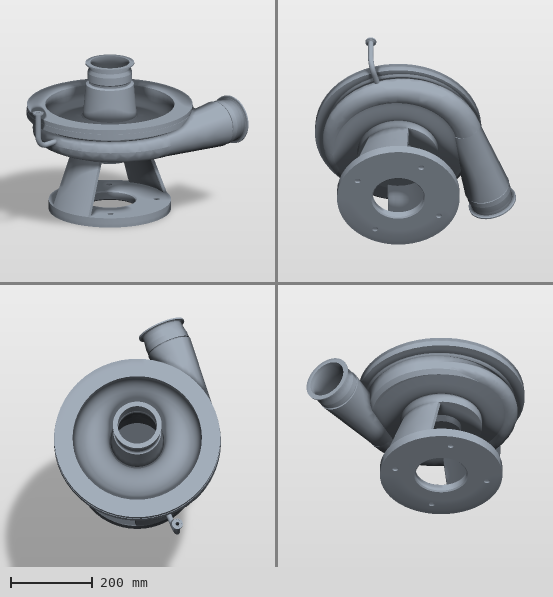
import cadquery as cq
import math

base_radius = 150.0
base_thickness = 23.5
base_bore_radius = 63.0
base_bore_chamfer = 3.0
bolt_circle_radius = 114.5
bolt_hole_radius = 7.0
bolt_count = 4
bolt_start_angle = 45

hub_radius = 100.0
hub_bottom_z = 150.5
hub_edge_z = 173.5
hub_top_z = 178.0
hub_step = 2.5
stub_radius = 49.5
stub_bottom_z = 130.0

leg_wall = 10.0
leg_chamfer = 2.0
leg_foot_half_width = 60.0
leg_head_half_width = 49.0

flange_radius = 204.0
flange_bottom_z = 243.0
flange_top_z = 268.0
cover_split_z = 257.5
cover_relief = 1.0
outlet_blend_radius = 5.0
core_radius = 172.0
core_offset_x = 6.0
core_offset_y = 5.0
core_bottom_z = 185.5
core_chamfer = 10.0
neck_radius = 185.0
neck_bottom_z = 234.5
neck_chamfer = 3.0
neck_offset_x = 9.0
neck_offset_y = -5.0
dish_rim_radius = 158.0
dish_fillet = 23.5
dish_wall_bottom_z = 247.0
dish_inner_radius = 69.0
dish_slope = math.radians(13.6)
dish_inner_z = 239.0

ferrule_radius = 59.5
ferrule_thickness = 3.5
ferrule_taper_length = 1.5
ferrule_taper_rise = 2.5
collar_radius = 54.5
pipe_radius = 51.5
pipe_bore_radius = 48.0
pipe_wall = pipe_radius - pipe_bore_radius
inlet_top_z = 376.0
inlet_taper_top_z = 362.0
inlet_collar_top_z = 352.0
inlet_collar_bottom_z = 333.0
inlet_neck_top_z = 330.0
inlet_neck_bottom_z = 325.5
inlet_recess_top_z = 346.5
inlet_recess_depth = 1.0
inlet_cone_top_z = 321.5
inlet_cone_top_radius = 58.5
inlet_cone_base_radius = 66.0
inlet_fillet_height = 3.0
inlet_floor_z = 190.5

scroll_z = 208.5
scroll_start_tube_radius = 16.0
scroll_tube_growth = 6.5
scroll_start_outer_radius = 169.5
scroll_outer_growth = 13.0
scroll_quarters = 3
sections_per_quarter = 4

outlet_x = 170.0
outlet_z = 209.5
outlet_end_y = 250.0
outlet_taper_end_y = 235.5
outlet_collar_end_y = 216.5
outlet_collar_start_y = 202.5
outlet_cone_end_y = 198.5
outlet_cone_end_radius = 56.0
outlet_cone_start_radius = 37.0
outlet_bore_start_y = 113.0
outlet_bore_start_radius = 44.0

drain_y = -251.0
drain_z = 216.5
drain_radius = 6.5
drain_bore_radius = 4.5
drain_bend_radius = 28.0
drain_start_y = -175.0
drain_top_z = 305.5
drain_ferrule_radius = 13.5
drain_ferrule_thickness = 3.5
drain_ferrule_taper = 2.0
drain_groove_inner_radius = 8.0
drain_groove_outer_radius = 11.0
drain_groove_depth = 1.0


def disc(radius, bottom_z, top_z):
    """Solid cylinder on the pump axis."""
    return cq.Workplane("XY").workplane(offset=bottom_z).circle(radius).extrude(top_z - bottom_z)


def turned(points):
    """Solid turned about the pump axis from (radius, z) corners."""
    return cq.Workplane("XZ").polyline(points).close().revolve(360, (0, 0), (0, 1))


def make_base():
    plate = disc(base_radius, 0, base_thickness)
    plate = plate.cut(disc(base_bore_radius, 0, base_thickness))
    plate = plate.edges(cq.selectors.RadiusNthSelector(0)).chamfer(base_bore_chamfer)
    holes = (
        cq.Workplane("XY")
        .polarArray(bolt_circle_radius, bolt_start_angle, 360, bolt_count)
        .circle(bolt_hole_radius)
        .extrude(base_thickness)
    )
    return plate.cut(holes)


def make_hub():
    hub = turned([
        (0, hub_bottom_z),
        (hub_radius, hub_bottom_z),
        (hub_radius, hub_edge_z),
        (hub_radius - hub_step, hub_edge_z),
        (hub_radius - hub_step, core_bottom_z),
        (0, core_bottom_z),
    ])
    web = turned([
        (0, hub_top_z),
        (hub_radius, hub_top_z),
        (core_radius - core_chamfer, core_bottom_z),
        (0, core_bottom_z),
    ])
    return hub.union(web).union(disc(stub_radius, stub_bottom_z, hub_bottom_z))


def make_legs():
    shell = turned([
        (base_radius - leg_wall, base_thickness),
        (base_radius, base_thickness),
        (hub_radius, hub_bottom_z),
        (hub_radius - leg_wall, hub_bottom_z),
    ])
    strip = (
        cq.Workplane("XZ")
        .polyline([
            (-leg_foot_half_width, base_thickness),
            (leg_foot_half_width, base_thickness),
            (leg_head_half_width, hub_bottom_z),
            (-leg_head_half_width, hub_bottom_z),
        ])
        .close()
        .extrude(base_radius, both=True)
    )
    legs = shell.intersect(strip)
    mid_z = (base_thickness + hub_bottom_z) / 2
    mid_half_width = (leg_foot_half_width + leg_head_half_width) / 2
    mid_radius = (base_radius + hub_radius - leg_wall) / 2
    mid_y = math.sqrt(mid_radius**2 - mid_half_width**2)
    inner_side_edges = cq.selectors.BoxSelector(
        (-leg_foot_half_width, -mid_y, mid_z - leg_wall),
        (leg_foot_half_width, mid_y, mid_z + leg_wall),
    )
    return legs.edges(inner_side_edges).chamfer(leg_chamfer)


def make_core():
    core = disc(core_radius, core_bottom_z, flange_bottom_z).faces("<Z").chamfer(core_chamfer)
    core = core.translate((core_offset_x, core_offset_y, 0))
    neck = disc(neck_radius, neck_bottom_z, flange_bottom_z).faces("<Z").chamfer(neck_chamfer)
    neck = neck.translate((neck_offset_x, neck_offset_y, 0))
    return core.union(neck)


def make_scroll():
    sections = []
    count = scroll_quarters * sections_per_quarter
    for index in range(count + 1):
        quarters = index / sections_per_quarter
        tube_radius = scroll_start_tube_radius + scroll_tube_growth * quarters
        centre_radius = scroll_start_outer_radius + scroll_outer_growth * quarters - tube_radius
        angle = math.radians(90 * (1 + quarters))
        centre = cq.Vector(centre_radius * math.cos(angle), centre_radius * math.sin(angle), scroll_z)
        along = cq.Vector(-math.sin(angle), math.cos(angle), 0)
        sections.append(cq.Wire.makeCircle(tube_radius, centre, along))
    return cq.Workplane(obj=cq.Solid.makeLoft(sections))


def make_outlet(outline):
    """Solid turned about the outlet axis from (radius, y) corners."""
    solid = cq.Workplane("XY").polyline(outline).close().revolve(360, (0, 0), (0, 1))
    return solid.translate((outlet_x, 0, outlet_z))


def make_outlet_body():
    return make_outlet([
        (0, 0),
        (outlet_cone_start_radius, 0),
        (outlet_cone_end_radius, outlet_cone_end_y),
        (pipe_radius, outlet_cone_end_y),
        (pipe_radius, outlet_collar_start_y),
        (collar_radius, outlet_collar_start_y),
        (collar_radius, outlet_collar_end_y),
        (pipe_radius, outlet_taper_end_y),
        (pipe_radius, outlet_end_y - ferrule_thickness - ferrule_taper_length),
        (pipe_radius + ferrule_taper_rise, outlet_end_y - ferrule_thickness),
        (ferrule_radius, outlet_end_y - ferrule_thickness),
        (ferrule_radius, outlet_end_y),
        (0, outlet_end_y),
    ])


def make_outlet_bore():
    return make_outlet([
        (0, outlet_bore_start_y),
        (outlet_bore_start_radius, outlet_bore_start_y),
        (pipe_bore_radius, outlet_cone_end_y),
        (pipe_bore_radius, outlet_end_y),
        (0, outlet_end_y),
    ])


def make_flange_with_outlet():
    """Casing and cover flanges, blended into the outlet where it leaves their rim."""
    flange = disc(flange_radius, flange_bottom_z, flange_top_z).union(make_outlet_body())
    rim_crossing = cq.selectors.BoxSelector(
        (outlet_x - outlet_cone_end_radius, 0, flange_bottom_z),
        (outlet_x + outlet_cone_end_radius, outlet_cone_end_y, cover_split_z),
    )
    flange = flange.edges("%BSPLINE").edges(rim_crossing).fillet(outlet_blend_radius)
    rim = disc(flange_radius, cover_split_z, flange_top_z)
    cover = disc(flange_radius - cover_relief, cover_split_z, flange_top_z)
    return flange.cut(rim.cut(cover))


def make_dish():
    """Space above the cover: straight wall, round corner, shallow cone, flat middle."""
    corner_radius = dish_rim_radius - dish_fillet
    half_sweep = (math.pi / 2 + dish_slope) / 2
    arc_middle = (
        corner_radius + dish_fillet * math.cos(half_sweep),
        dish_wall_bottom_z - dish_fillet * math.sin(half_sweep),
    )
    arc_end = (
        corner_radius - dish_fillet * math.sin(dish_slope),
        dish_wall_bottom_z - dish_fillet * math.cos(dish_slope),
    )
    return (
        cq.Workplane("XZ")
        .moveTo(0, flange_top_z)
        .lineTo(dish_rim_radius, flange_top_z)
        .lineTo(dish_rim_radius, dish_wall_bottom_z)
        .threePointArc(arc_middle, arc_end)
        .lineTo(dish_inner_radius, dish_inner_z)
        .lineTo(0, dish_inner_z)
        .close()
        .revolve(360, (0, 0), (0, 1))
    )


def make_inlet_body():
    return turned([
        (0, inlet_floor_z),
        (dish_inner_radius, inlet_floor_z),
        (dish_inner_radius, dish_inner_z),
        (inlet_cone_base_radius, dish_inner_z + inlet_fillet_height),
        (inlet_cone_top_radius, inlet_cone_top_z),
        (pipe_radius, inlet_neck_bottom_z),
        (pipe_radius, inlet_neck_top_z),
        (collar_radius, inlet_collar_bottom_z),
        (collar_radius, inlet_collar_top_z),
        (pipe_radius, inlet_taper_top_z),
        (pipe_radius, inlet_top_z - ferrule_thickness - ferrule_taper_length),
        (pipe_radius + ferrule_taper_rise, inlet_top_z - ferrule_thickness),
        (ferrule_radius, inlet_top_z - ferrule_thickness),
        (ferrule_radius, inlet_top_z),
        (0, inlet_top_z),
    ])


def make_inlet_bore():
    recess_radius = pipe_bore_radius + inlet_recess_depth
    return turned([
        (0, inlet_floor_z),
        (inlet_cone_base_radius - pipe_wall, inlet_floor_z),
        (inlet_cone_base_radius - pipe_wall, dish_inner_z),
        (inlet_cone_top_radius - pipe_wall, inlet_cone_top_z),
        (pipe_bore_radius, inlet_neck_bottom_z - pipe_wall),
        (pipe_bore_radius, inlet_neck_top_z),
        (recess_radius, inlet_collar_bottom_z),
        (recess_radius, inlet_recess_top_z),
        (pipe_bore_radius, inlet_recess_top_z),
        (pipe_bore_radius, inlet_top_z),
        (0, inlet_top_z),
    ])


def make_drain_run(radius):
    """Round bar along the drain: level run, quarter bend, upright."""
    bend_start_y = drain_y + drain_bend_radius
    bend_end_z = drain_z + drain_bend_radius
    bend_inset = drain_bend_radius * (1 - math.cos(math.pi / 4))
    path = (
        cq.Workplane("YZ")
        .moveTo(drain_start_y, drain_z)
        .lineTo(bend_start_y, drain_z)
        .threePointArc((drain_y + bend_inset, drain_z + bend_inset), (drain_y, bend_end_z))
        .lineTo(drain_y, drain_top_z)
    )
    start = cq.Workplane("XZ", origin=(0, drain_start_y, drain_z))
    return start.circle(radius).sweep(path)


def make_drain_ferrule():
    rim_bottom_z = drain_top_z - drain_ferrule_thickness
    groove_z = drain_top_z - drain_groove_depth
    ferrule = turned([
        (0, rim_bottom_z - drain_ferrule_taper),
        (drain_radius, rim_bottom_z - drain_ferrule_taper),
        (drain_groove_outer_radius, rim_bottom_z),
        (drain_ferrule_radius, rim_bottom_z),
        (drain_ferrule_radius, drain_top_z),
        (drain_groove_outer_radius, drain_top_z),
        (drain_groove_outer_radius, groove_z),
        (drain_groove_inner_radius, groove_z),
        (drain_groove_inner_radius, drain_top_z),
        (0, drain_top_z),
    ])
    return ferrule.translate((0, drain_y, 0))


support = make_base().union(make_legs()).union(make_hub())
pump = make_flange_with_outlet().union(make_core()).union(make_scroll()).cut(make_dish())
pump = pump.union(make_inlet_body()).union(make_drain_run(drain_radius)).union(make_drain_ferrule())
pump = pump.cut(make_inlet_bore()).cut(make_outlet_bore()).cut(make_drain_run(drain_bore_radius))
result = support.union(pump)